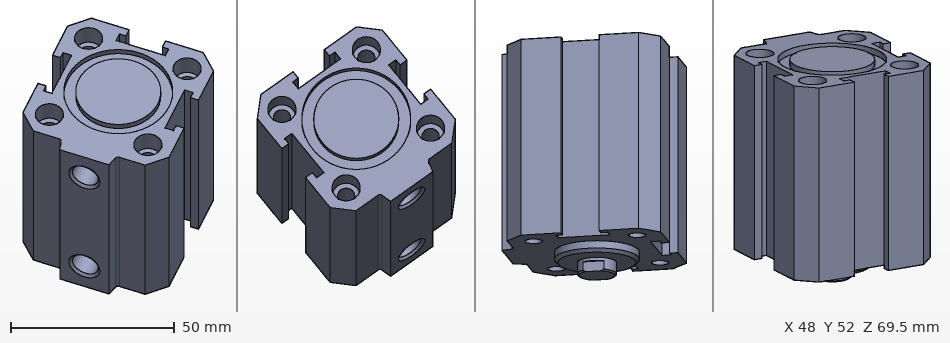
import cadquery as cq
import math

TOTAL_HEIGHT = 69.5
BODY_WIDTH = 48.0
HALF_WIDTH = BODY_WIDTH / 2
BODY_DEPTH = 52.0
CORNER_CHAMFER = 5.6
BODY_LENGTH = 62.05
BODY_BOTTOM = TOTAL_HEIGHT - BODY_LENGTH

RIB_HEIGHT = BODY_DEPTH - BODY_WIDTH
RIB_FACE_WIDTH = 16.2
RIB_FLANK_ANGLE = 15.0
RIB_ROOT_RADIUS = 1.0

SLOT_MOUTH_WIDTH = 11.95
SLOT_WIDTH = 16.2
SLOT_DEPTH = 5.4
SLOT_LIP = 2.65

BOLT_PITCH = 32.4
BOLT_DIAMETER = 5.3
BOLT_HEAD_DIAMETER = 8.55
BOLT_HEAD_DEPTH = 6.95

RECESS_DIAMETER = 33.3
CAP_DIAMETER = 26.0
RECESS_DEPTH = 1.95

PORT_DIAMETER = 8.5
PORT_CHAMFER = 0.8
PORT_DEPTH = 9.7
PORT_END_DISTANCE = 9.7

COLLAR_DIAMETER = CAP_DIAMETER
COLLAR_HEIGHT = 3.35
COLLAR_CHAMFER = 1.05
COLLAR_BOTTOM = BODY_BOTTOM - COLLAR_HEIGHT

ROD_DIAMETER = 12.0
ROD_TIP_CHAMFER = 0.5
ROD_FLATS_WIDTH = 10.1
ROD_FLATS_GAP = 1.0
ROD_FLATS_LENGTH = COLLAR_BOTTOM - ROD_FLATS_GAP
ROD_TOP = BODY_BOTTOM


def make_profile():
    """Square extrusion with chamfered corners."""
    return (
        cq.Workplane("XY", origin=(0, 0, BODY_BOTTOM))
        .rect(BODY_WIDTH, BODY_WIDTH)
        .extrude(BODY_LENGTH)
        .edges("|Z")
        .chamfer(CORNER_CHAMFER)
    )


def add_rib(body):
    """Tapered rib with filleted roots along the full body length."""
    half_face = RIB_FACE_WIDTH / 2
    half_root = half_face + RIB_HEIGHT * math.tan(math.radians(RIB_FLANK_ANGLE))
    rib = (
        cq.Workplane("XY", origin=(0, 0, BODY_BOTTOM))
        .polyline([
            (-half_face, -HALF_WIDTH - RIB_HEIGHT),
            (half_face, -HALF_WIDTH - RIB_HEIGHT),
            (half_root, -HALF_WIDTH),
            (-half_root, -HALF_WIDTH),
        ])
        .close()
        .extrude(BODY_LENGTH)
    )
    body = body.union(rib)
    middle = TOTAL_HEIGHT - BODY_LENGTH / 2
    for root_x in (-half_root, half_root):
        root_edge = cq.selectors.NearestToPointSelector((root_x, -HALF_WIDTH, middle))
        body = body.edges("|Z").edges(root_edge).fillet(RIB_ROOT_RADIUS)
    return body


def make_slot():
    """Cutter for the T-slot on the +Y side."""
    mouth = (
        cq.Workplane("XY", origin=(0, HALF_WIDTH - SLOT_DEPTH / 2, BODY_BOTTOM))
        .rect(SLOT_MOUTH_WIDTH, SLOT_DEPTH)
        .extrude(BODY_LENGTH)
    )
    channel_depth = SLOT_DEPTH - SLOT_LIP
    channel = (
        cq.Workplane("XY", origin=(0, HALF_WIDTH - SLOT_LIP - channel_depth / 2, BODY_BOTTOM))
        .rect(SLOT_WIDTH, channel_depth)
        .extrude(BODY_LENGTH)
    )
    return mouth.union(channel)


def cut_slots(body):
    slot = make_slot()
    for angle in (-90, 0, 90):
        body = body.cut(slot.rotate((0, 0, 0), (0, 0, 1), angle))
    return body


def cut_bolt_holes(body):
    return (
        body.copyWorkplane(cq.Workplane("XY", origin=(0, 0, TOTAL_HEIGHT)))
        .rect(BOLT_PITCH, BOLT_PITCH, forConstruction=True)
        .vertices()
        .cboreHole(BOLT_DIAMETER, BOLT_HEAD_DIAMETER, BOLT_HEAD_DEPTH)
    )


def cut_top_recess(body):
    """Ring around the cap, which stays level with the top face."""
    ring = (
        cq.Workplane("XY", origin=(0, 0, TOTAL_HEIGHT - RECESS_DEPTH))
        .circle(RECESS_DIAMETER / 2)
        .circle(CAP_DIAMETER / 2)
        .extrude(RECESS_DEPTH)
    )
    return body.cut(ring)


def make_port(height):
    """Cutter for one blind port with a chamfered mouth in the rib face."""
    radius = PORT_DIAMETER / 2
    mouth_radius = radius + PORT_CHAMFER
    face_y = -HALF_WIDTH - RIB_HEIGHT
    return (
        cq.Workplane("XY", origin=(0, 0, height))
        .polyline([
            (0, face_y),
            (mouth_radius, face_y),
            (radius, face_y + PORT_CHAMFER),
            (radius, face_y + PORT_DEPTH),
            (0, face_y + PORT_DEPTH),
        ])
        .close()
        .revolve(360, (0, 0, 0), (0, 1, 0))
    )


def cut_ports(body):
    for height in (BODY_BOTTOM + PORT_END_DISTANCE, TOTAL_HEIGHT - PORT_END_DISTANCE):
        body = body.cut(make_port(height))
    return body


def add_collar(body):
    """Chamfered collar with the guide hole for the rod."""
    collar = (
        cq.Workplane("XY", origin=(0, 0, COLLAR_BOTTOM))
        .circle(COLLAR_DIAMETER / 2)
        .extrude(COLLAR_HEIGHT)
        .faces("<Z")
        .edges()
        .chamfer(COLLAR_CHAMFER)
    )
    guide_hole = (
        cq.Workplane("XY", origin=(0, 0, COLLAR_BOTTOM))
        .circle(ROD_DIAMETER / 2)
        .extrude(ROD_TOP - COLLAR_BOTTOM)
    )
    return body.union(collar).cut(guide_hole)


def make_housing():
    body = add_rib(make_profile())
    body = cut_slots(body)
    body = cut_bolt_holes(body)
    body = cut_top_recess(body)
    body = cut_ports(body)
    return add_collar(body)


def make_rod():
    """Round rod with a chamfered tip and two wrench flats facing -X and +X."""
    rod = (
        cq.Workplane("XY")
        .circle(ROD_DIAMETER / 2)
        .extrude(ROD_TOP)
        .faces("<Z")
        .edges()
        .chamfer(ROD_TIP_CHAMFER)
    )
    flats_envelope = (
        cq.Workplane("XY")
        .rect(ROD_FLATS_WIDTH, ROD_DIAMETER)
        .extrude(ROD_FLATS_LENGTH)
    )
    round_stretch = (
        cq.Workplane("XY", origin=(0, 0, ROD_FLATS_LENGTH))
        .circle(ROD_DIAMETER / 2)
        .extrude(ROD_TOP - ROD_FLATS_LENGTH)
    )
    return rod.intersect(flats_envelope.union(round_stretch))


housing = make_housing()
rod = make_rod()
result = cq.Compound.makeCompound([housing.val(), rod.val()])